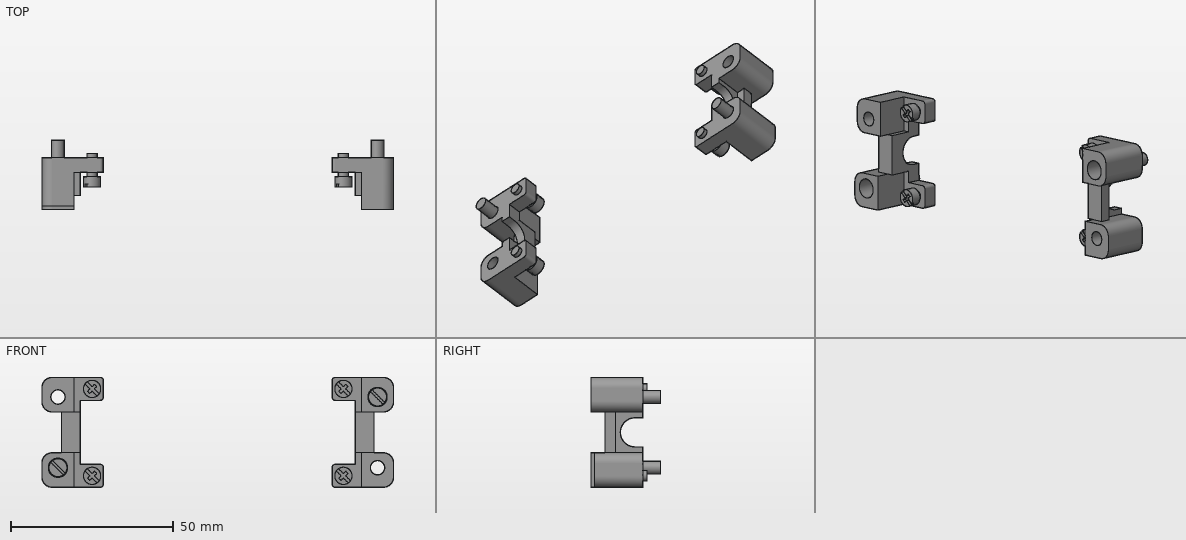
import cadquery as cq

TOTAL_LENGTH = 108.5
HEIGHT = 34.0

BRACKET_WIDTH = 19.0
BLOCK_WIDTH = 10.0
BLOCK_HEIGHT = 10.7
BLOCK_DEPTH = 16.1
SHORT_BLOCK_STEP = 1.1
BLOCK_FILLET = 3.3
EAR_HEIGHT = 7.2
EAR_THICKNESS = 4.6
EAR_FILLET = 1.0
BEAM_INNER = 11.9
BEAM_WIDTH = 5.9
BEAM_DEPTH = 3.3
BRIDGE_DEPTH = 11.7
WEB_THICKNESS = 3.0
CABLE_NOTCH_WIDTH = 8.9
CABLE_NOTCH_DEPTH = 6.9

MOUNT_X = 5.0
MOUNT_EDGE_DISTANCE = 6.1
MOUNT_HOLE_DIAMETER = 4.3
COUNTERBORE_DIAMETER = 6.0
MOUNT_SHANK_DIAMETER = 4.0
MOUNT_HEAD_DIAMETER = 5.5
MOUNT_HEAD_HEIGHT = 2.6
MOUNT_TIP = 5.4
MOUNT_SLOT_WIDTH = 0.8
MOUNT_SLOT_DEPTH = 1.0

CLAMP_X = 15.5
CLAMP_EDGE_DISTANCE = 3.6
CLAMP_SHANK_DIAMETER = 3.3
CLAMP_HEAD_DIAMETER = 5.3
CLAMP_HEAD_HEIGHT = 3.3
CLAMP_HEAD_BACK = 5.9
CLAMP_TIP = 1.3
CLAMP_SLOT_WIDTH = 1.0
CLAMP_SLOT_DEPTH = 1.0
CROSS_LENGTH = 3.0

SLOT_ANGLE = 45

LEFT = -TOTAL_LENGTH / 2
TOP = HEIGHT / 2
MOUNT_Z = TOP - MOUNT_EDGE_DISTANCE
CLAMP_Z = TOP - CLAMP_EDGE_DISTANCE
SEAT_DEPTH = EAR_THICKNESS


def box(x_min, x_max, depth_min, depth_max, z_min, z_max):
    """Box given by its distances from the outer end and from the mounting face."""
    return cq.Workplane("XY").box(
        x_max - x_min, depth_max - depth_min, z_max - z_min, centered=False
    ).translate((LEFT + x_min, -depth_max, z_min))


def cylinder(x, z, diameter, depth_min, depth_max):
    """Cylinder along Y; depths are measured from the mounting face towards -Y."""
    return (
        cq.Workplane("XZ", origin=(LEFT + x, -depth_min, z))
        .circle(diameter / 2)
        .extrude(depth_max - depth_min)
    )


def slot_cutter(x, z, length, width, front_depth, slot_depth, angle):
    """Cutting tool for a straight driver slot in a screw head from its front."""
    return (
        cq.Workplane("XY")
        .box(length, slot_depth, width)
        .rotate((0, 0, 0), (0, 1, 0), angle)
        .translate((LEFT + x, slot_depth / 2 - front_depth, z))
    )


def make_block_with_ear(depth):
    """Upper block with its ear and the strip between ear and bridge, outer corners rounded."""
    block = box(0, BLOCK_WIDTH, 0, depth, TOP - BLOCK_HEIGHT, TOP)
    block = block.edges("|Y and <X").fillet(BLOCK_FILLET)
    ear = box(BLOCK_WIDTH, BRACKET_WIDTH, 0, EAR_THICKNESS, TOP - EAR_HEIGHT, TOP)
    ear = ear.edges("|Y and >X").fillet(EAR_FILLET)
    strip = box(BLOCK_WIDTH, BEAM_INNER, 0, EAR_THICKNESS, TOP - BLOCK_HEIGHT, TOP)
    return block.union(ear).union(strip)


def make_bridge():
    """Front beam and thinner web with a round-bottomed cable notch."""
    z_half = TOP - BLOCK_HEIGHT
    beam_start = BEAM_INNER - BEAM_WIDTH
    beam = box(beam_start, BEAM_INNER, BRIDGE_DEPTH - BEAM_DEPTH, BRIDGE_DEPTH, -z_half, z_half)
    web_start = BEAM_INNER - WEB_THICKNESS
    web = box(web_start, BEAM_INNER, 0, BRIDGE_DEPTH, -z_half, z_half)
    radius = CABLE_NOTCH_WIDTH / 2
    straight = CABLE_NOTCH_DEPTH - radius
    notch = (
        cq.Workplane("YZ", origin=(LEFT + web_start, 0, 0))
        .moveTo(0, -radius)
        .lineTo(-straight, -radius)
        .threePointArc((-CABLE_NOTCH_DEPTH, 0), (-straight, radius))
        .lineTo(0, radius)
        .close()
        .extrude(WEB_THICKNESS)
    )
    return beam.union(web.cut(notch))


def make_bracket():
    """One-piece bracket with holes for one mounting screw and two clamp screws."""
    upper = make_block_with_ear(BLOCK_DEPTH - SHORT_BLOCK_STEP)
    lower = make_block_with_ear(BLOCK_DEPTH).mirror("XY")
    bracket = upper.union(lower).union(make_bridge())
    for side in (1, -1):
        bracket = bracket.cut(cylinder(MOUNT_X, side * MOUNT_Z, MOUNT_HOLE_DIAMETER, 0, BLOCK_DEPTH))
        bracket = bracket.cut(cylinder(CLAMP_X, side * CLAMP_Z, CLAMP_SHANK_DIAMETER, 0, EAR_THICKNESS))
    return bracket.cut(cylinder(MOUNT_X, -MOUNT_Z, COUNTERBORE_DIAMETER, SEAT_DEPTH, BLOCK_DEPTH))


def make_mount_screw():
    """Slotted screw whose head rests on the seat deep in the counterbore."""
    front = SEAT_DEPTH + MOUNT_HEAD_HEIGHT
    shank = cylinder(MOUNT_X, -MOUNT_Z, MOUNT_SHANK_DIAMETER, -MOUNT_TIP, SEAT_DEPTH)
    head = cylinder(MOUNT_X, -MOUNT_Z, MOUNT_HEAD_DIAMETER, SEAT_DEPTH, front)
    slot = slot_cutter(
        MOUNT_X, -MOUNT_Z, MOUNT_HEAD_DIAMETER, MOUNT_SLOT_WIDTH, front, MOUNT_SLOT_DEPTH, SLOT_ANGLE
    )
    return shank.union(head).cut(slot)


def make_clamp_screw(side):
    """Screw with a full slot and a short cross arm; side is +1 for the upper ear, -1 for the lower."""
    z = side * CLAMP_Z
    front = CLAMP_HEAD_BACK + CLAMP_HEAD_HEIGHT
    shank = cylinder(CLAMP_X, z, CLAMP_SHANK_DIAMETER, -CLAMP_TIP, CLAMP_HEAD_BACK)
    head = cylinder(CLAMP_X, z, CLAMP_HEAD_DIAMETER, CLAMP_HEAD_BACK, front)
    screw = shank.union(head)
    for length, angle in ((CLAMP_HEAD_DIAMETER, SLOT_ANGLE), (CROSS_LENGTH, SLOT_ANGLE + 90)):
        screw = screw.cut(slot_cutter(CLAMP_X, z, length, CLAMP_SLOT_WIDTH, front, CLAMP_SLOT_DEPTH, angle))
    return screw


bracket = make_bracket()
mount_screw = make_mount_screw()
clamp_screws = [make_clamp_screw(side) for side in (1, -1)]

bodies = []
for turn in (0, 180):
    for body in (bracket, mount_screw, *clamp_screws):
        bodies.append(body.rotate((0, 0, 0), (0, 1, 0), turn).val())

result = cq.Compound.makeCompound(bodies)